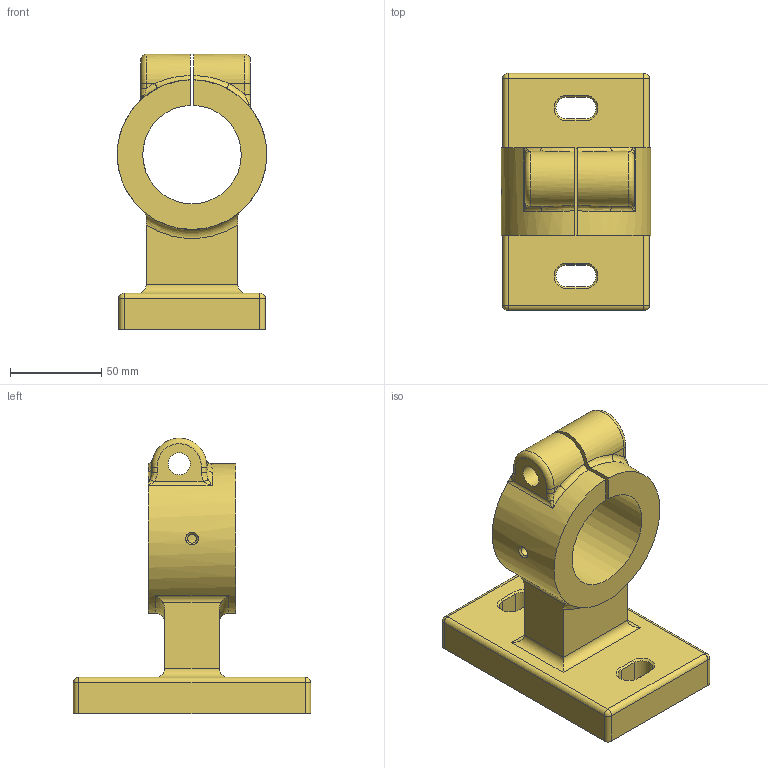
import cadquery as cq
import math

BASE_X = 80.5
BASE_Y = 130.0
BASE_HEIGHT = 20.0
BASE_FILLET = 3.0

SLOT_LENGTH = 22.0
SLOT_WIDTH = 12.0
SLOT_OFFSET_Y = 46.0
SLOT_CHAMFER = 1.0
CHAMFER_ANGLE = 45.0

RING_DIAMETER = 82.0
BORE_DIAMETER = 54.0
RING_LENGTH = 48.0
RING_AXIS_Z = 96.0
RING_RADIUS = RING_DIAMETER / 2
RING_TOP_Z = RING_AXIS_Z + RING_RADIUS

POST_X = 50.0
POST_Y = 30.0
POST_FILLET = 5.0

LUG_LENGTH = 60.0
LUG_CENTRE_X = 2.0
LUG_WIDTH = 30.0
LUG_CENTRE_Y = 7.0
LUG_TOP_Z = 151.0
LUG_SHOULDER_Z = 135.0
LUG_FILLET = 3.0
LUG_HALF_WIDTH = LUG_WIDTH / 2

BOLT_HOLE_DIAMETER = 12.0
BOLT_HOLE_Z = RING_TOP_Z
SLIT_WIDTH = 2.0
SCREW_HOLE_DIAMETER = 5.0
SCREW_MOUTH_DIAMETER = 7.0

ON_SURFACE = 0.1


def make_base():
    plate = cq.Workplane("XY").box(BASE_X, BASE_Y, BASE_HEIGHT, centered=(True, True, False))
    return plate.edges("|Z or >Z").fillet(BASE_FILLET)


def make_post():
    height = RING_AXIS_Z - BASE_HEIGHT
    post = cq.Workplane("XY").box(POST_X, POST_Y, height, centered=(True, True, False))
    return post.translate((0, 0, BASE_HEIGHT))


def cylinder_along_y(diameter, length=RING_LENGTH):
    """Cylinder on the ring axis, centred on Y = 0."""
    disc = cq.Workplane("XZ").center(0, RING_AXIS_Z).circle(diameter / 2)
    return disc.extrude(length / 2, both=True)


def make_lug():
    """Round-topped bar reaching down to the ring axis."""
    front_y = LUG_CENTRE_Y - LUG_HALF_WIDTH
    back_y = LUG_CENTRE_Y + LUG_HALF_WIDTH
    profile = (
        cq.Workplane("YZ")
        .moveTo(front_y, RING_AXIS_Z)
        .lineTo(front_y, LUG_SHOULDER_Z)
        .threePointArc((LUG_CENTRE_Y, LUG_TOP_Z), (back_y, LUG_SHOULDER_Z))
        .lineTo(back_y, RING_AXIS_Z)
        .close()
    )
    bar = profile.extrude(LUG_LENGTH / 2, both=True)
    return bar.translate((LUG_CENTRE_X, 0, 0))


def on_ring_surface(point):
    return abs(math.hypot(point.x, point.z - RING_AXIS_Z) - RING_RADIUS) < ON_SURFACE


def ring_joint_edges(body):
    """Edges where another body runs into the ring's outer surface, away from its end faces."""
    edges = []
    for edge in body.edges().vals():
        ends_on_ring = on_ring_surface(edge.startPoint()) and on_ring_surface(edge.endPoint())
        inside_ring_ends = abs(edge.Center().y) < RING_LENGTH / 2 - ON_SURFACE
        is_seam = edge.startPoint().z == RING_AXIS_Z
        if ends_on_ring and inside_ring_ends and not is_seam:
            edges.append(edge)
    return edges


def is_lug_rim(edge):
    """Whether an edge is the arc round one of the lug's end faces."""
    from_end = abs(abs(edge.Center().x - LUG_CENTRE_X) - LUG_LENGTH / 2)
    return from_end < ON_SURFACE and edge.Center().z > LUG_SHOULDER_Z


def make_head():
    """Ring and lug, with a fillet round the lug's foot and then round its end rims.

    The foot fillet is wider than the gap behind the lug, so it is formed on a
    longer ring that is then trimmed to length.
    """
    blank_length = RING_LENGTH + 4 * LUG_FILLET
    head = cylinder_along_y(RING_DIAMETER, blank_length).union(make_lug())
    head = head.newObject(ring_joint_edges(head)).fillet(LUG_FILLET)
    rims = [edge for edge in head.edges("%CIRCLE").vals() if is_lug_rim(edge)]
    head = head.newObject(rims).fillet(LUG_FILLET)
    slab = cq.Workplane("XY").box(2 * RING_DIAMETER, RING_LENGTH, 2 * LUG_TOP_Z)
    return head.intersect(slab)


def post_foot_edges(body):
    """The four edges where the post stands on the base."""
    half_x = POST_X / 2 + ON_SURFACE
    half_y = POST_Y / 2 + ON_SURFACE
    low = (-half_x, -half_y, BASE_HEIGHT - ON_SURFACE)
    high = (half_x, half_y, BASE_HEIGHT + ON_SURFACE)
    return body.edges(cq.selectors.BoxSelector(low, high))


def make_body():
    """Base, post, ring and lug as one solid, with the joints between them filleted."""
    ring = cylinder_along_y(RING_DIAMETER)
    body = make_base().union(make_post()).union(ring)
    body = post_foot_edges(body).fillet(POST_FILLET)
    body = body.newObject(ring_joint_edges(body)).fillet(POST_FILLET)
    return body.union(make_head())


def mounting_slot(y):
    """Slot through the base with a chamfered upper rim."""
    slot = cq.Workplane("XY").center(0, y).slot2D(SLOT_LENGTH, SLOT_WIDTH).extrude(BASE_HEIGHT)
    rim_length = SLOT_LENGTH + 2 * SLOT_CHAMFER
    rim_width = SLOT_WIDTH + 2 * SLOT_CHAMFER
    rim_plane = cq.Workplane("XY", origin=(0, y, BASE_HEIGHT))
    rim = rim_plane.slot2D(rim_length, rim_width).extrude(-SLOT_CHAMFER, taper=CHAMFER_ANGLE)
    return slot.union(rim)


def bolt_hole():
    """Clamping bolt hole through the whole lug along X."""
    circle = cq.Workplane("YZ").center(LUG_CENTRE_Y, BOLT_HOLE_Z).circle(BOLT_HOLE_DIAMETER / 2)
    return circle.extrude(LUG_LENGTH, both=True)


def clamp_slit():
    """Slit from the ring axis up through the top of the lug."""
    height = LUG_TOP_Z - RING_AXIS_Z
    slit = cq.Workplane("XY").box(SLIT_WIDTH, RING_LENGTH, height, centered=(True, True, False))
    return slit.translate((0, 0, RING_AXIS_Z))


def screw_hole():
    """Radial set screw hole from the -X side into the bore, with a 45 degree mouth."""
    screw_radius = SCREW_HOLE_DIAMETER / 2
    mouth_radius = SCREW_MOUTH_DIAMETER / 2
    mouth_depth = mouth_radius - screw_radius
    profile = (
        cq.Workplane("XZ")
        .polyline([
            (-RING_RADIUS, RING_AXIS_Z),
            (-RING_RADIUS, RING_AXIS_Z + mouth_radius),
            (-RING_RADIUS + mouth_depth, RING_AXIS_Z + screw_radius),
            (0, RING_AXIS_Z + screw_radius),
            (0, RING_AXIS_Z),
        ])
        .close()
    )
    return profile.revolve(360, (-RING_RADIUS, RING_AXIS_Z), (0, RING_AXIS_Z))


result = make_body()
for slot_y in (-SLOT_OFFSET_Y, SLOT_OFFSET_Y):
    result = result.cut(mounting_slot(slot_y))
result = result.cut(cylinder_along_y(BORE_DIAMETER)).cut(bolt_hole()).cut(clamp_slit()).cut(screw_hole())